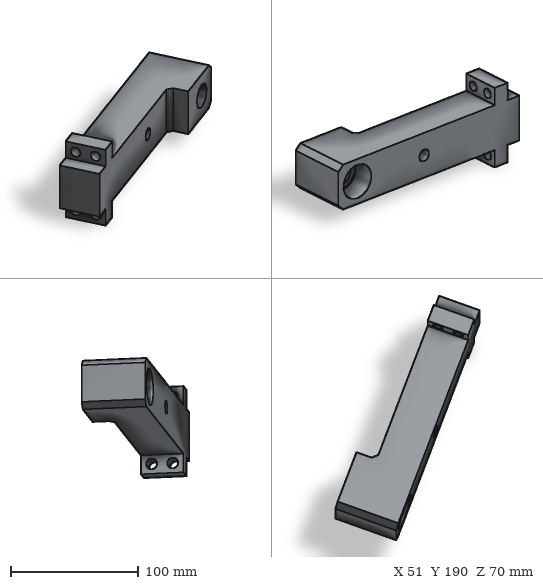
import cadquery as cq

length = 190.0
bar_width = 34.0
bar_height = 39.5
end_chamfer = 5.0

head_width = 51.0
head_start = 142.1
head_relief = 4.0

flange_height = 70.0
flange_start = 12.4
flange_end = 26.0
bolt_spacing = 17.0
bolt_height = 27.0
upper_bolt_diameter = 8.2
lower_bolt_diameter = 8.5

drill_overrun = 1.9

pin_hole_diameter = 10.0
pin_hole_y = 100.0
bore_y = 170.0
bore_diameter = 20.0
seat_diameter = 29.0
seat_depth = 18.5
seat_floor_diameter = 28.0


def make_body():
    """Bar and head as one profile, chamfered along the far upper and lower edges."""
    profile = [
        (0, 0),
        (bar_width, 0),
        (bar_width, head_start - head_relief),
        (bar_width + head_relief, head_start),
        (head_width, head_start),
        (head_width, length),
        (0, length),
    ]
    body = cq.Workplane("XY").polyline(profile).close().extrude(bar_height / 2, both=True)
    return body.faces(">Y").edges("|X").chamfer(end_chamfer)


def make_flange():
    flange_thickness = flange_end - flange_start
    return cq.Workplane("XY").box(
        bar_width, flange_thickness, flange_height, centered=(False, False, True)
    ).translate((0, flange_start, 0))


def bolt_holes(diameter, z):
    """Pair of holes along Y through the flange, centred on the bar width."""
    centers = [(bar_width / 2 + side * bolt_spacing / 2, z) for side in (-1, 1)]
    return cq.Workplane("XZ").pushPoints(centers).circle(diameter / 2).extrude(-(flange_end + drill_overrun))


def cross_hole(y, diameter, depth):
    """Hole along X, starting at the X = 0 face."""
    return cq.Workplane("YZ").center(y, 0).circle(diameter / 2).extrude(depth)


def seat_floor_bevel():
    """45 degree cone that narrows the seat from its wall to its flat floor."""
    bevel_depth = (seat_diameter - seat_floor_diameter) / 2
    wall_end = cq.Workplane("YZ", origin=(seat_depth, bore_y, 0)).circle(seat_diameter / 2)
    return wall_end.extrude(bevel_depth, taper=45)


result = make_body().union(make_flange())
result = result.cut(bolt_holes(upper_bolt_diameter, bolt_height))
result = result.cut(bolt_holes(lower_bolt_diameter, -bolt_height))
result = result.cut(cross_hole(pin_hole_y, pin_hole_diameter, bar_width))
result = result.cut(cross_hole(bore_y, bore_diameter, head_width))
result = result.cut(cross_hole(bore_y, seat_diameter, seat_depth))
result = result.cut(seat_floor_bevel())